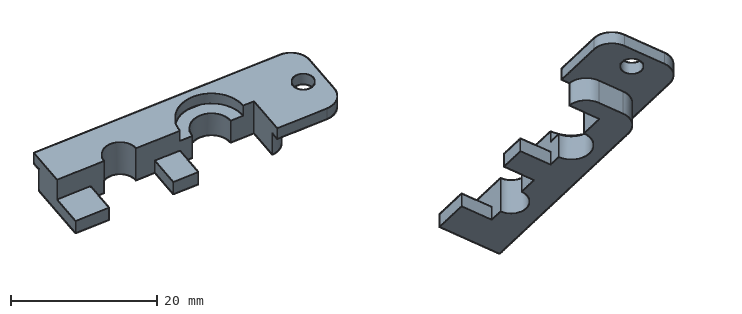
import cadquery as cq

length = 42.0
plate_width = 12.6
plate_thickness = 2.0
height = 6.0
body_width = 10.0
body_length = 33.98
corner_radius = 3.0
body_height = height - plate_thickness

mount_hole_diameter = 3.2
mount_hole_y = length - corner_radius

cutaway_end = 31.2
pad_height = 2.3
front_pad_end = 5.35
middle_pad_start = 15.5
middle_pad_end = 19.5

small_bore_radius = 2.5
small_bore_y = 10.0
large_bore_radius = 3.02
large_bore_y = 24.5
counterbore_radius = 5.0
counterbore_depth = 1.9


def block(x_min, x_max, y_min, y_max, z_min, z_max):
    """Axis-aligned box given by its limits."""
    size = (x_max - x_min, y_max - y_min, z_max - z_min)
    return cq.Workplane("XY").box(*size, centered=False).translate((x_min, y_min, z_min))


def rounded_bar(width, bar_length, z_min, z_max):
    """Bar centred on X = 0 with its two far (+Y) vertical edges rounded."""
    bar = block(-width / 2, width / 2, 0, bar_length, z_min, z_max)
    return bar.faces(">Y").edges("|Z").fillet(corner_radius)


def bore(radius, y, depth=height):
    """Vertical cylinder on the X = 0 plane, reaching down from the top face."""
    return cq.Workplane("XY", origin=(0, y, height - depth)).circle(radius).extrude(depth)


def right_half_cut(y_min, y_max, z_min):
    """Cutter for everything on the +X side above z_min."""
    return block(0, plate_width / 2, y_min, y_max, z_min, height)


body = rounded_bar(body_width, body_length, 0, body_height)
plate = rounded_bar(plate_width, length, body_height, height)
result = body.union(plate)

result = result.cut(right_half_cut(0, cutaway_end, pad_height))
result = result.cut(right_half_cut(front_pad_end, middle_pad_start, 0))
result = result.cut(right_half_cut(middle_pad_end, cutaway_end, 0))

result = result.cut(bore(small_bore_radius, small_bore_y))
result = result.cut(bore(large_bore_radius, large_bore_y))
result = result.cut(bore(counterbore_radius, large_bore_y, counterbore_depth))
result = result.cut(bore(mount_hole_diameter / 2, mount_hole_y))